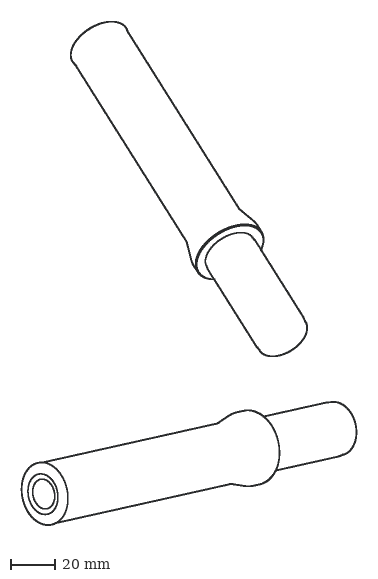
import cadquery as cq
import math

total_length = 194.0

handle_length = 138.0
shank_radius = 28.0 / 2
flange_radius = 34.0 / 2
flange_thickness = 5.35
flare_angle = math.radians(14.5)
flare_blend_radius = 5.0
flange_edge_chamfer = 0.4

bead_radius = 28.6 / 2
bead_crest = 1.2
bead_end = 2.5
tip_face_radius = 26.0 / 2
tip_face_setback = 0.45
tip_corner_radius = 1.4
tip_rim_radius = 18.5 / 2
groove_radius = 13.6 / 2
groove_depth = 0.5
dimple_radius = 9.0 / 2
dimple_depth = 0.35

shaft_radius = 25.0 / 2
relief_radius = 24.5 / 2
neck_length = 0.8
tail_length = 2.8
step_length = 1.0
tail_fillet = 1.0


def turn(profile):
    """Close a half profile onto the X axis and turn it into a solid."""
    return profile.close().revolve(360, (0, 0, 0), (1, 0, 0))


def make_handle():
    flange_start = handle_length - flange_thickness
    flare_length = (flange_radius - shank_radius) / math.tan(flare_angle)
    flare_start = flange_start - flare_length

    blend_reach = flare_blend_radius * math.tan(flare_angle / 2)
    blend_along = blend_reach * math.cos(flare_angle)
    blend_rise = blend_reach * math.sin(flare_angle)

    return turn(
        cq.Workplane("XY")
        .moveTo(dimple_depth, 0)
        .lineTo(0, dimple_radius)
        .lineTo(groove_depth, groove_radius)
        .lineTo(0, tip_rim_radius)
        .lineTo(tip_face_setback, tip_face_radius)
        .radiusArc((bead_crest, bead_radius), tip_corner_radius)
        .lineTo(bead_end, shank_radius)
        .lineTo(flare_start - blend_reach, shank_radius)
        .tangentArcPoint((flare_start + blend_along, shank_radius + blend_rise), relative=False)
        .lineTo(flange_start - blend_along, flange_radius - blend_rise)
        .tangentArcPoint((flange_start + blend_reach, flange_radius), relative=False)
        .lineTo(handle_length - flange_edge_chamfer, flange_radius)
        .lineTo(handle_length, flange_radius - flange_edge_chamfer)
        .lineTo(handle_length, 0)
    )


def make_shaft():
    neck_end = handle_length + neck_length
    tail_start = total_length - tail_length
    return turn(
        cq.Workplane("XY")
        .moveTo(handle_length, 0)
        .lineTo(handle_length, relief_radius)
        .lineTo(neck_end, relief_radius)
        .lineTo(neck_end + step_length, shaft_radius)
        .lineTo(tail_start - step_length, shaft_radius)
        .lineTo(tail_start, relief_radius)
        .lineTo(total_length - tail_fillet, relief_radius)
        .tangentArcPoint((total_length, relief_radius - tail_fillet), relative=False)
        .lineTo(total_length, 0)
    )


handle = make_handle()
shaft = make_shaft()

result = cq.Compound.makeCompound([handle.val(), shaft.val()])